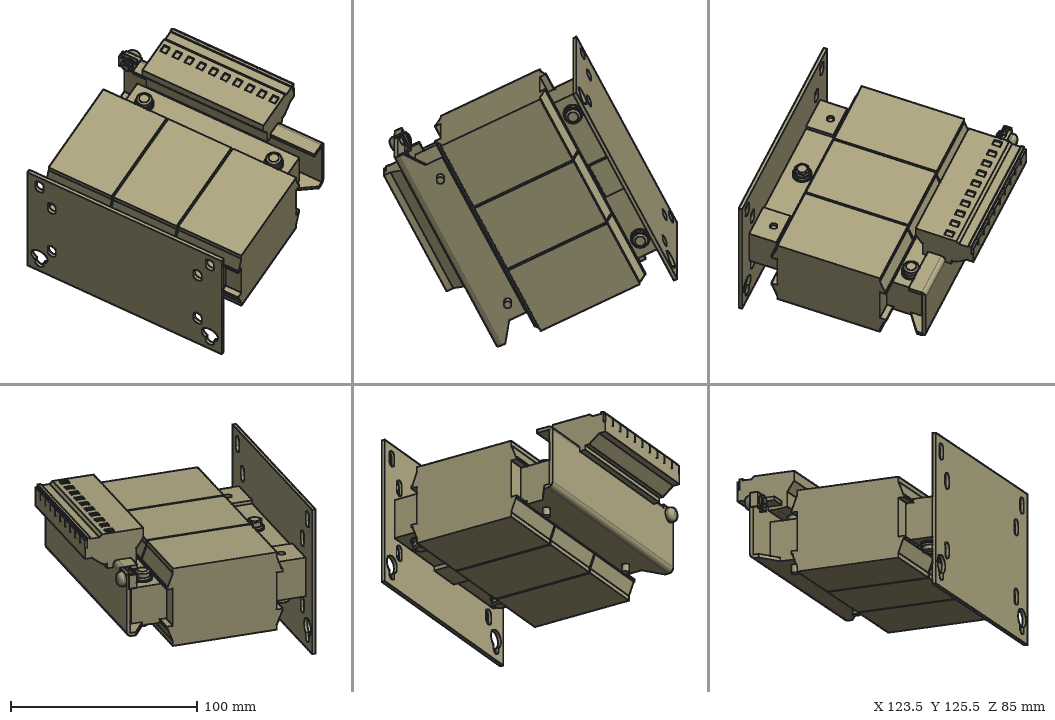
import cadquery as cq


PLATE_WIDTH = 120.0
PLATE_HEIGHT = 85.0
PLATE_THICK = 2.0
PLATE_MID_Z = 2.1
SLOT_WIDTH = 5.0
SLOT_LENGTH = 9.0
OUTER_HOLE_X = 52.6
OUTER_SLOT_RISE = 34.0
INNER_SLOT_X = 45.1
INNER_SLOT_RISE = 19.6
KEYHOLE_DIA = 10.0
KEYHOLE_DROP = 29.5
KEYHOLE_SLOT_END = 38.4

CORE_WIDTH = 100.1
CORE_HEIGHT = 20.8
CORE_BACK_Y = 102.2
YOKE_DEPTH = 20.2
LEG_WIDTH = 20.0
LEG_PITCH = 40.0
CORE_TOP_Z = CORE_HEIGHT / 2

COIL_WIDTH = 39.0
COIL_HALF_HEIGHT = 22.9
COIL_FRONT_Y = PLATE_THICK + YOKE_DEPTH
COIL_BACK_Y = CORE_BACK_Y - YOKE_DEPTH
FLANGE_SHOULDER_Z = 20.1
FLANGE_LIP_TOP_Z = 12.3
FLANGE_BASE_Z = 10.9
FLANGE_SLANT_REACH = 3.0
FLANGE_LIP_REACH = 3.5

BOLT_X = 40.0
FRONT_BOLT_Y = 12.2
BACK_BOLT_Y = 92.0
BOLT_DIA = 4.0
HEAD_FLANGE_DIA = 10.3
HEAD_FLANGE_THICK = 0.9
HEAD_COLLAR_DIA = 9.5
HEAD_DIA = 8.3
HEAD_COLLAR_END = 2.0
HEAD_CHAMFER_START = 4.5
HEAD_TIP_DIA = 5.5
HEAD_HEIGHT = 5.3
STUD_END_Z = -17.0
TAB_WIDTH = 19.8
TAB_BACK_Y = 17.8
TOP_TAB_THICK = 2.0
BOTTOM_TAB_THICK = 2.5

BRACKET_HALF_WIDTH = 61.0
BRACKET_THICK = 2.0
BRACKET_BACK_Y = 109.2
BRACKET_TOP_Z = 24.2
BRACKET_FOOT_END_Y = 85.9
FOOT_TAPER_WIDE_Y = 104.0
FOOT_TAPER_NARROW_Y = 96.0
BRACKET_LIP_FRONT_Y = 99.2
BRACKET_LIP_LEFT_X = -51.1
FOOT_BEND_RADIUS = 3.0
LIP_BEND_RADIUS = 2.5
BRACKET_FRONT_Y = BRACKET_BACK_Y - BRACKET_THICK
FOOT_BOTTOM_Z = -CORE_TOP_Z - BRACKET_THICK

POLE_COUNT = 10
STRIP_LENGTH = 74.8
STRIP_LEFT_X = -41.2
POLE_PITCH = STRIP_LENGTH / POLE_COUNT
STRIP_OVERHANG_Z = 27.7
STRIP_SHELF_Z = 22.9
STRIP_SHELF_Y = 112.7
STRIP_BASE_Z = 20.2
STRIP_LOWER_FRONT_Y = 96.0
STRIP_FRONT_Y = 92.0
STRIP_LEDGE_Z = 39.2
STRIP_RIM_Z = 40.0
STRIP_RIM_FRONT_Y = 122.5
STRIP_TOP_Z = 40.7
STRIP_BACK_Y = 125.5
MARKER_SEAT_Y = 124.3
MARKER_BASE_Z = 34.1
MARKER_TOP_Z = 38.7
MARKER_GAP = 0.5
POCKET_LENGTH_X = 3.5
POCKET_LENGTH_Y = 4.5
POCKET_DEPTH = 1.0
POCKET_MID_Y = 110.1

EARTH_X = -57.0
EARTH_Z = 20.2
EARTH_HEAD_DIA = 8.3
EARTH_HEAD_BACK_Y = 113.1
EARTH_HEAD_FILLET = 2.8
CLAMP_LEFT_X = -62.5
CLAMP_RIGHT_X = -51.3
CLAMP_FRONT_Y = 104.0
CLAMP_PLATE_THICK = 1.1
CLAMP_SIDE_THICK = 1.1
CLAMP_SIDE_BACK_Y = 108.2
CLAMP_HEIGHT = 8.0
EARTH_NUT_DIA = 7.0
EARTH_NUT_FRONT_Y = 102.7
EARTH_TIP_FRONT_Y = 102.0


def box(x_range, y_range, z_range):
    size = [high - low for low, high in (x_range, y_range, z_range)]
    corner = (x_range[0], y_range[0], z_range[0])
    return cq.Workplane("XY").box(*size, centered=False).translate(corner)


def side_profile(points, x_start, length):
    """Extrude an outline of (Y, Z) points along +X."""
    return cq.Workplane("YZ", origin=(x_start, 0, 0)).polyline(points).close().extrude(length)


def rod_along_y(diameter, y_start, y_end):
    """Cylinder on the earth screw axis."""
    plane = cq.Workplane("XZ", origin=(EARTH_X, y_start, EARTH_Z))
    return plane.circle(diameter / 2).extrude(y_start - y_end)


def make_plate():
    half_width = PLATE_WIDTH / 2
    half_height = PLATE_HEIGHT / 2
    z_range = (PLATE_MID_Z - half_height, PLATE_MID_Z + half_height)
    plate = box((-half_width, half_width), (0, PLATE_THICK), z_range)

    face = cq.Workplane("XZ", origin=(0, 0, PLATE_MID_Z))
    slot_centres = []
    for side in (-1, 1):
        slot_centres.append((side * OUTER_HOLE_X, OUTER_SLOT_RISE))
        slot_centres.append((side * INNER_SLOT_X, INNER_SLOT_RISE))
        slot_centres.append((side * INNER_SLOT_X, -INNER_SLOT_RISE))
    plate = plate.cut(face.pushPoints(slot_centres).slot2D(SLOT_LENGTH, SLOT_WIDTH, 90).extrude(-PLATE_THICK))

    neck_length = KEYHOLE_SLOT_END - KEYHOLE_DROP + SLOT_WIDTH / 2
    neck_mid = -KEYHOLE_SLOT_END + neck_length / 2
    for x in (-OUTER_HOLE_X, OUTER_HOLE_X):
        plate = plate.cut(face.center(x, -KEYHOLE_DROP).circle(KEYHOLE_DIA / 2).extrude(-PLATE_THICK))
        plate = plate.cut(face.center(x, neck_mid).slot2D(neck_length, SLOT_WIDTH, 90).extrude(-PLATE_THICK))
    return plate


def make_core():
    x_range = (-CORE_WIDTH / 2, CORE_WIDTH / 2)
    z_range = (-CORE_TOP_Z, CORE_TOP_Z)
    core = box(x_range, (PLATE_THICK, COIL_FRONT_Y), z_range)
    core = core.union(box(x_range, (COIL_BACK_Y, CORE_BACK_Y), z_range))
    for x in (-LEG_PITCH, 0, LEG_PITCH):
        leg = box((x - LEG_WIDTH / 2, x + LEG_WIDTH / 2), (COIL_FRONT_Y, COIL_BACK_Y), z_range)
        core = core.union(leg)
    return core


def make_coil(x_mid):
    """Coil block with a slanted, lipped flange at each end, above and below the core."""
    quarter = [
        (0, COIL_HALF_HEIGHT),
        (0, FLANGE_SHOULDER_Z),
        (FLANGE_SLANT_REACH, FLANGE_LIP_TOP_Z),
        (FLANGE_LIP_REACH, FLANGE_LIP_TOP_Z),
        (FLANGE_LIP_REACH, FLANGE_BASE_Z),
        (0, FLANGE_BASE_Z),
    ]
    half = quarter + [(reach, -z) for reach, z in reversed(quarter)]
    back = [(COIL_BACK_Y + reach, z) for reach, z in half]
    front = [(COIL_FRONT_Y - reach, z) for reach, z in reversed(half)]
    return side_profile(back + front, x_mid - COIL_WIDTH / 2, COIL_WIDTH)


def make_bolt_head(x, y, up):
    """Flanged bolt head seated on the core, pointing up (1) or down (-1)."""
    outline = [
        (0, 0),
        (HEAD_FLANGE_DIA / 2, 0),
        (HEAD_FLANGE_DIA / 2, HEAD_FLANGE_THICK),
        (HEAD_COLLAR_DIA / 2, HEAD_FLANGE_THICK),
        (HEAD_DIA / 2, HEAD_COLLAR_END),
        (HEAD_DIA / 2, HEAD_CHAMFER_START),
        (HEAD_TIP_DIA / 2, HEAD_HEIGHT),
        (0, HEAD_HEIGHT),
    ]
    points = [(radius, up * (CORE_TOP_Z + height)) for radius, height in outline]
    head = cq.Workplane("XZ").polyline(points).close().revolve(360, (0, 0), (0, 1))
    return head.translate((x, y, 0))


def make_hex_head():
    """Middle front bolt head: the flanged head trimmed to a hexagon above its flange."""
    seat = cq.Workplane("XY", origin=(0, FRONT_BOLT_Y, CORE_TOP_Z))
    envelope = seat.transformed(rotate=(0, 0, 90)).polygon(6, HEAD_DIA).extrude(HEAD_HEIGHT)
    envelope = envelope.union(seat.circle(HEAD_FLANGE_DIA / 2).extrude(HEAD_COLLAR_END))
    return make_bolt_head(0, FRONT_BOLT_Y, 1).intersect(envelope)


def make_bolts():
    bolts = make_hex_head()
    for x in (-BOLT_X, BOLT_X):
        bolts = bolts.union(make_bolt_head(x, FRONT_BOLT_Y, -1))
        bolts = bolts.union(make_bolt_head(x, BACK_BOLT_Y, 1))
        stud = cq.Workplane("XY", origin=(x, BACK_BOLT_Y, STUD_END_Z)).circle(BOLT_DIA / 2)
        bolts = bolts.union(stud.extrude(-CORE_TOP_Z - STUD_END_Z))
    return bolts


def make_tabs():
    """Two drilled tabs above the front yoke and one below its middle."""
    y_range = (PLATE_THICK, TAB_BACK_Y)
    tabs = box((-TAB_WIDTH / 2, TAB_WIDTH / 2), y_range, (-CORE_TOP_Z - BOTTOM_TAB_THICK, -CORE_TOP_Z))
    outer = CORE_WIDTH / 2
    inner = outer - TAB_WIDTH
    for x_range, hole_x in (((-outer, -inner), -BOLT_X), ((inner, outer), BOLT_X)):
        tab = box(x_range, y_range, (CORE_TOP_Z, CORE_TOP_Z + TOP_TAB_THICK))
        hole = cq.Workplane("XY", origin=(hole_x, FRONT_BOLT_Y, CORE_TOP_Z)).circle(BOLT_DIA / 2)
        tabs = tabs.union(tab.cut(hole.extrude(TOP_TAB_THICK)))
    return tabs


def make_bracket():
    """Z-bent sheet: tapered foot under the core, upright wall, lip carrying the terminals."""
    width_range = (-BRACKET_HALF_WIDTH, BRACKET_HALF_WIDTH)
    wall_y = (BRACKET_FRONT_Y, BRACKET_BACK_Y)
    half_core = CORE_WIDTH / 2
    foot_right = [
        (BRACKET_HALF_WIDTH, BRACKET_BACK_Y),
        (BRACKET_HALF_WIDTH, FOOT_TAPER_WIDE_Y),
        (half_core, FOOT_TAPER_NARROW_Y),
        (half_core, BRACKET_FOOT_END_Y),
    ]
    foot_left = [(-x, y) for x, y in reversed(foot_right)]
    foot_plane = cq.Workplane("XY", origin=(0, 0, FOOT_BOTTOM_Z))
    foot = foot_plane.polyline(foot_right + foot_left).close().extrude(BRACKET_THICK)
    bracket = foot.union(box(width_range, wall_y, (FOOT_BOTTOM_Z, BRACKET_TOP_Z)))
    bracket = bracket.edges("|X and >Y and <Z").fillet(FOOT_BEND_RADIUS)

    lip_x = (BRACKET_LIP_LEFT_X, BRACKET_HALF_WIDTH)
    lip_z = (BRACKET_TOP_Z - BRACKET_THICK, BRACKET_TOP_Z)
    lip = box(lip_x, (BRACKET_LIP_FRONT_Y, BRACKET_BACK_Y), lip_z)
    bend = box(lip_x, (BRACKET_BACK_Y - LIP_BEND_RADIUS, BRACKET_BACK_Y),
               (BRACKET_TOP_Z - LIP_BEND_RADIUS, BRACKET_TOP_Z))
    bend_axis = (BRACKET_LIP_LEFT_X, BRACKET_BACK_Y - LIP_BEND_RADIUS, BRACKET_TOP_Z - LIP_BEND_RADIUS)
    rounded = cq.Workplane("YZ", origin=bend_axis).circle(LIP_BEND_RADIUS)
    rounded = rounded.extrude(BRACKET_HALF_WIDTH - BRACKET_LIP_LEFT_X)
    return bracket.union(lip).cut(bend.cut(rounded))


def make_terminals():
    """Row of terminals: one stepped block with a marker and a pocket at each pole."""
    outline = [
        (STRIP_BACK_Y, STRIP_OVERHANG_Z),
        (121.5, STRIP_OVERHANG_Z),
        (115.1, STRIP_SHELF_Z),
        (STRIP_SHELF_Y, STRIP_SHELF_Z),
        (STRIP_SHELF_Y, STRIP_BASE_Z),
        (102.0, STRIP_BASE_Z),
        (STRIP_LOWER_FRONT_Y, 21.0),
        (STRIP_LOWER_FRONT_Y, 29.4),
        (STRIP_FRONT_Y, 35.0),
        (STRIP_FRONT_Y, STRIP_TOP_Z),
        (115.6, STRIP_TOP_Z),
        (117.3, STRIP_LEDGE_Z),
        (STRIP_RIM_FRONT_Y, STRIP_LEDGE_Z),
        (STRIP_RIM_FRONT_Y, STRIP_RIM_Z),
        (MARKER_SEAT_Y, STRIP_RIM_Z),
        (MARKER_SEAT_Y, MARKER_BASE_Z),
        (STRIP_BACK_Y, MARKER_BASE_Z),
    ]
    strip = side_profile(outline, STRIP_LEFT_X, STRIP_LENGTH)
    marker_half = (POLE_PITCH - MARKER_GAP) / 2
    for pole in range(POLE_COUNT):
        x = STRIP_LEFT_X + (pole + 0.5) * POLE_PITCH
        marker = box((x - marker_half, x + marker_half), (MARKER_SEAT_Y, STRIP_BACK_Y),
                     (MARKER_BASE_Z, MARKER_TOP_Z))
        pocket = box((x - POCKET_LENGTH_X / 2, x + POCKET_LENGTH_X / 2),
                     (POCKET_MID_Y - POCKET_LENGTH_Y / 2, POCKET_MID_Y + POCKET_LENGTH_Y / 2),
                     (STRIP_TOP_Z - POCKET_DEPTH, STRIP_TOP_Z))
        strip = strip.union(marker).cut(pocket)
    return strip


def make_earth_screw():
    """Domed screw through the bracket wall, holding a U-shaped clamp on its front."""
    head = rod_along_y(EARTH_HEAD_DIA, BRACKET_BACK_Y, EARTH_HEAD_BACK_Y)
    screw = head.faces(">Y").edges().fillet(EARTH_HEAD_FILLET)
    screw = screw.union(rod_along_y(BOLT_DIA, EARTH_TIP_FRONT_Y, BRACKET_BACK_Y))
    screw = screw.union(rod_along_y(EARTH_NUT_DIA, EARTH_NUT_FRONT_Y, CLAMP_FRONT_Y))

    z_range = (EARTH_Z - CLAMP_HEIGHT / 2, EARTH_Z + CLAMP_HEIGHT / 2)
    plate_back_y = CLAMP_FRONT_Y + CLAMP_PLATE_THICK
    clamp = box((CLAMP_LEFT_X, CLAMP_RIGHT_X), (CLAMP_FRONT_Y, plate_back_y), z_range)
    for x in (CLAMP_LEFT_X, CLAMP_RIGHT_X - CLAMP_SIDE_THICK):
        side = box((x, x + CLAMP_SIDE_THICK), (plate_back_y, CLAMP_SIDE_BACK_Y), z_range)
        clamp = clamp.union(side)
    return screw.union(clamp)


result = make_plate().union(make_core())
for coil_x in (-LEG_PITCH, 0, LEG_PITCH):
    result = result.union(make_coil(coil_x))
for assembly in (make_tabs(), make_bolts(), make_bracket(), make_terminals(), make_earth_screw()):
    result = result.union(assembly)